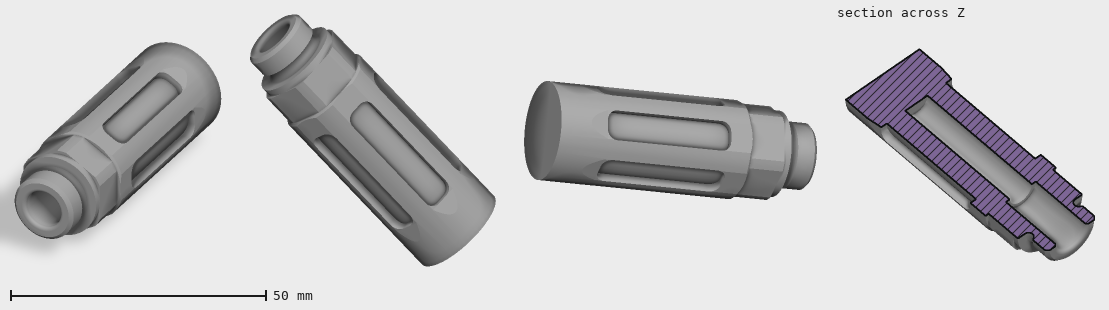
import cadquery as cq
import math

overall_length = 55.6
side_count = 6

sleeve_radius = 19.5 / 2
sleeve_across_flats = 18.6
sleeve_start = 14.95
sleeve_chamfer = 0.45

runout_start = 45.6
runout_length = 3.6

window_start = 19.5
window_end = runout_start
window_width = 6.0
window_corner_radius = 2.0
core_radius = 7.85

hex_across_flats = 17.0
hex_corner_radius = 18.55 / 2
hex_start = 7.9
collar_radius = hex_across_flats / 2
collar_start = 6.4

head_radius = 13.2 / 2
head_length = 4.2
head_front_chamfer = 0.7
head_back_chamfer_length = 0.35
head_back_chamfer_depth = 0.55
neck_radius = 5.6
neck_end_radius = 6.45

bore_radius = 7.8 / 2
bore_mouth_fillet = 0.7
inner_bore_radius = 5.8 / 2


def ring_angles():
    """Angles about the Y axis at which the flats face, the first one along +X."""
    return [side * 360 / side_count for side in range(side_count)]


def cut_around(body, tool):
    """Cut the tool, made facing +X, from every side of the body."""
    for angle in ring_angles():
        body = body.cut(tool.rotate((0, 0, 0), (0, 1, 0), angle))
    return body


def cylinder(radius, start, end):
    """Cylinder about the Y axis from start to end."""
    return cq.Workplane("XZ", origin=(0, start, 0)).circle(radius).extrude(start - end)


def make_sleeve():
    sleeve = cylinder(sleeve_radius, sleeve_start, overall_length)
    return sleeve.faces("<Y").edges().chamfer(sleeve_chamfer)


def make_flat_cutter():
    """Block outside one flat, with the sloping run-out at its far end."""
    flat_height = sleeve_across_flats / 2
    outline = [
        (flat_height, sleeve_start),
        (flat_height, runout_start),
        (sleeve_radius, runout_start + runout_length),
        (2 * sleeve_radius, runout_start + runout_length),
        (2 * sleeve_radius, sleeve_start),
    ]
    return cq.Workplane("XY").polyline(outline).close().extrude(sleeve_radius, both=True)


def make_window_cutter():
    """Round-cornered block that stops at the cylindrical core."""
    block = (
        cq.Workplane("XY")
        .box(2 * sleeve_radius, window_end - window_start, window_width, centered=(False, True, True))
        .edges("|X")
        .fillet(window_corner_radius)
        .translate((0, (window_start + window_end) / 2, 0))
    )
    return block.cut(cylinder(core_radius, sleeve_start, overall_length))


def make_hexagon():
    hexagon = cylinder(hex_corner_radius, hex_start, sleeve_start)
    outside_flat = cq.Workplane("XY").box(
        hex_corner_radius, sleeve_start, 2 * hex_corner_radius, centered=(False, False, True)
    )
    return cut_around(hexagon, outside_flat.translate((hex_across_flats / 2, 0, 0)))


def make_spigot():
    """Head, undercut neck and collar as one revolved profile of (radius, Y)."""
    head_back = head_length + head_back_chamfer_length
    profile = (
        cq.Workplane("XY")
        .lineTo(head_radius - head_front_chamfer, 0)
        .lineTo(head_radius, head_front_chamfer)
        .lineTo(head_radius, head_length)
        .lineTo(head_radius - head_back_chamfer_depth, head_back)
        .threePointArc((neck_radius, (head_back + collar_start) / 2), (neck_end_radius, collar_start))
        .lineTo(collar_radius, collar_start)
        .lineTo(collar_radius, hex_start)
        .lineTo(0, hex_start)
        .close()
    )
    return profile.revolve(360, (0, 0, 0), (0, 1, 0))


def make_bore():
    """Wide bore up to the sleeve with a rounded mouth, then a narrow one along the windows."""
    mouth_radius = bore_radius + bore_mouth_fillet
    mouth_middle_offset = bore_mouth_fillet * math.sin(math.pi / 4)
    profile = (
        cq.Workplane("XY")
        .lineTo(mouth_radius, 0)
        .threePointArc(
            (mouth_radius - mouth_middle_offset, bore_mouth_fillet - mouth_middle_offset),
            (bore_radius, bore_mouth_fillet),
        )
        .lineTo(bore_radius, sleeve_start)
        .lineTo(inner_bore_radius, sleeve_start)
        .lineTo(inner_bore_radius, window_end)
        .lineTo(0, window_end)
        .close()
    )
    return profile.revolve(360, (0, 0, 0), (0, 1, 0))


sleeve = cut_around(make_sleeve(), make_flat_cutter())
sleeve = cut_around(sleeve, make_window_cutter())
result = sleeve.union(make_hexagon()).union(make_spigot()).cut(make_bore())